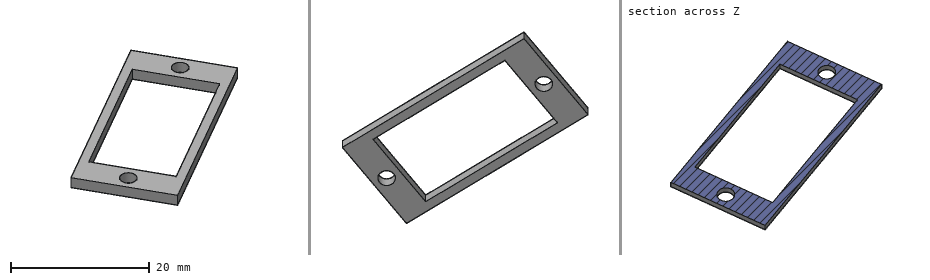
import cadquery as cq

plate_width = 16.0
plate_length = 32.2
plate_thickness = 1.8

window_width = 13.1
window_length = 23.35

hole_diameter = 2.5
hole_spacing = 27.85


def make_plate():
    return cq.Workplane("XY").box(plate_width, plate_length, plate_thickness)


def cut_window(body):
    return body.faces(">Z").workplane().rect(window_width, window_length).cutThruAll()


def cut_mounting_holes(body):
    hole_centres = [(0, side * hole_spacing / 2) for side in (-1, 1)]
    return body.faces(">Z").workplane(origin=(0, 0, 0)).pushPoints(hole_centres).hole(hole_diameter)


result = cut_mounting_holes(cut_window(make_plate()))